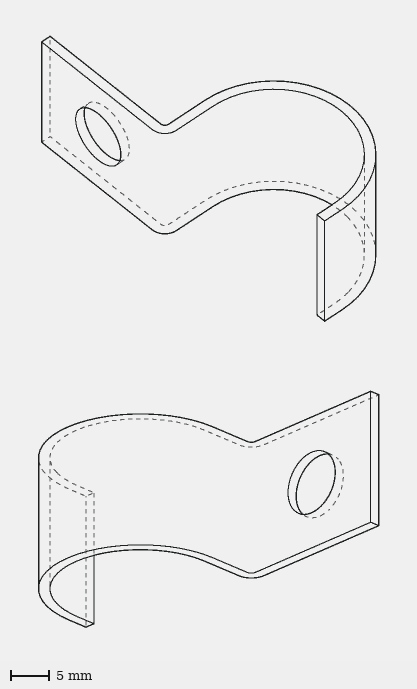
import cadquery as cq

length = 49.1
depth = 22.15
width = 19.05
thickness = 1.5
outer_radius = 13.4
bend_inner_radius = 0.75
free_leg_length = 3.2
hole_diameter = 8.8
hole_x = 11.05

inner_radius = outer_radius - thickness
bend_outer_radius = bend_inner_radius + thickness
arc_x = length - outer_radius
arc_y = depth - outer_radius
leg_outer_x = arc_x - outer_radius
leg_inner_x = arc_x - inner_radius
free_end_y = arc_y - free_leg_length


def make_strip():
    """Constant-thickness strip: flat tab, upright leg, half-round saddle, short free leg."""
    profile = (
        cq.Workplane("XY")
        .lineTo(leg_inner_x - bend_outer_radius, 0)
        .radiusArc((leg_inner_x, bend_outer_radius), -bend_outer_radius)
        .lineTo(leg_inner_x, arc_y)
        .threePointArc((arc_x, arc_y + inner_radius), (arc_x + inner_radius, arc_y))
        .lineTo(arc_x + inner_radius, free_end_y)
        .lineTo(length, free_end_y)
        .lineTo(length, arc_y)
        .threePointArc((arc_x, depth), (leg_outer_x, arc_y))
        .lineTo(leg_outer_x, bend_outer_radius)
        .radiusArc((leg_outer_x - bend_inner_radius, thickness), bend_inner_radius)
        .lineTo(0, thickness)
        .close()
    )
    return profile.extrude(width)


def make_screw_hole():
    """Cylinder through the tab, centred across the strip width."""
    return (
        cq.Workplane("XZ", origin=(hole_x, thickness, width / 2))
        .circle(hole_diameter / 2)
        .extrude(thickness)
    )


result = make_strip().cut(make_screw_hole())